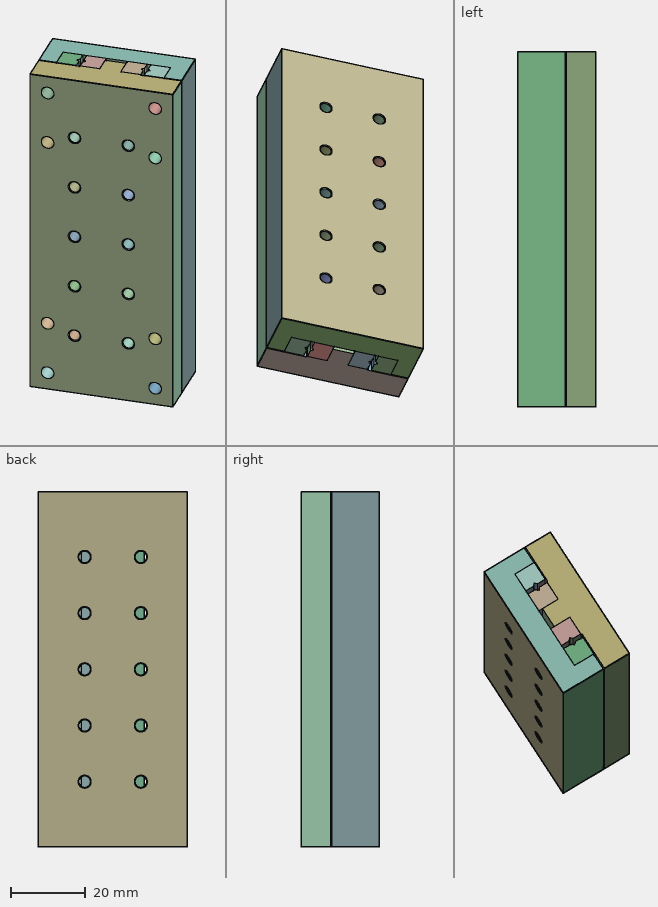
import cadquery as cq

WIDTH = 40.0
DEPTH = 21.0
LENGTH = 95.0
BASE_FACE_Y = -DEPTH / 2
TABLE_FACE_Y = DEPTH / 2

RAIL_SEAT_Y = -2.3
RAIL_TOP_Y = 3.8
BASE_SHOULDER_Y = -2.6
TABLE_LIP_Y = -2.2
RIB_TOP_Y = 2.7
RIB_HALF_WIDTH = 2.9
SEAT_HALF_WIDTH = 8.6
CHANNEL_HALF_WIDTH = 15.0

RAIL_WIDTH = 5.5
RAIL_MID_Y = (RAIL_TOP_Y + RAIL_SEAT_Y) / 2
GROOVE_DEPTH = 0.7

HOLE_PITCH = 15.0
MOUNT_DIAMETER = 3.5
MOUNT_Z = (27.5, 27.5 + HOLE_PITCH)
TAP_DIAMETER = 3.0
TAP_MOUTH_DIAMETER = 3.5
TAP_CHAMFER = (TAP_MOUTH_DIAMETER - TAP_DIAMETER) / 2
TAP_ROWS = 5

EDGE_CHAMFER = 0.14

MOUNT_POINTS = [
    (side * HOLE_PITCH, end * z)
    for side in (-1, 1)
    for end in (-1, 1)
    for z in MOUNT_Z
]
TAP_POINTS = [
    (side * HOLE_PITCH / 2, (row - (TAP_ROWS - 1) / 2) * HOLE_PITCH)
    for side in (-1, 1)
    for row in range(TAP_ROWS)
]


def extrude_section(points):
    """Extrude a closed XY outline over the full length, centred on Z."""
    return cq.Workplane("XY").polyline(points).close().extrude(LENGTH / 2, both=True)


def symmetric_section(right_half):
    """Close an outline from its right half by mirroring it about X = 0."""
    left_half = [(-x, y) for x, y in reversed(right_half)]
    return extrude_section(right_half + left_half)


def break_outer_edges(plate, mounting_face):
    """Chamfer the edges around the mounting face and the end edges of the two side faces."""
    side_ends = plate.faces("<X or >X").edges("|Y")
    return side_ends.add(plate.faces(mounting_face).edges()).chamfer(EDGE_CHAMFER)


def y_cylinders(points, diameter):
    """Cylinders along Y through the full depth, at the given (x, z) points."""
    return (
        cq.Workplane("XZ", origin=(0, TABLE_FACE_Y, 0))
        .pushPoints(points)
        .circle(diameter / 2)
        .extrude(DEPTH)
    )


def drill_taps(plate, face):
    """Tapped holes through a plate, with a chamfered mouth on its outer face."""
    drilled = plate.cut(y_cylinders(TAP_POINTS, TAP_DIAMETER))
    mouths = drilled.faces(face).edges(cq.selectors.RadiusNthSelector(0))
    return mouths.chamfer(TAP_CHAMFER)


def make_base():
    """Plate with a raised rail seat and a central rib between the inner rails."""
    base = symmetric_section([
        (WIDTH / 2, BASE_FACE_Y),
        (WIDTH / 2, BASE_SHOULDER_Y),
        (SEAT_HALF_WIDTH, BASE_SHOULDER_Y),
        (SEAT_HALF_WIDTH, RAIL_SEAT_Y),
        (RIB_HALF_WIDTH, RAIL_SEAT_Y),
        (RIB_HALF_WIDTH, RIB_TOP_Y),
    ])
    base = break_outer_edges(base, "<Y")
    base = drill_taps(base, "<Y")
    return base.cut(y_cylinders(MOUNT_POINTS, MOUNT_DIAMETER))


def make_table():
    """Inverted channel whose side walls hold the outer rails."""
    table = symmetric_section([
        (WIDTH / 2, TABLE_FACE_Y),
        (WIDTH / 2, TABLE_LIP_Y),
        (CHANNEL_HALF_WIDTH, TABLE_LIP_Y),
        (CHANNEL_HALF_WIDTH, RAIL_TOP_Y),
    ])
    table = break_outer_edges(table, ">Y")
    return drill_taps(table, ">Y")


def make_rail(back_x, facing):
    """Square rail with its back at back_x and a V groove on the side it faces along X."""
    front_x = back_x + facing * RAIL_WIDTH
    groove_x = front_x - facing * GROOVE_DEPTH
    return extrude_section([
        (back_x, RAIL_SEAT_Y),
        (front_x, RAIL_SEAT_Y),
        (front_x, RAIL_MID_Y - GROOVE_DEPTH),
        (groove_x, RAIL_MID_Y),
        (front_x, RAIL_MID_Y + GROOVE_DEPTH),
        (front_x, RAIL_TOP_Y),
        (back_x, RAIL_TOP_Y),
    ])


base = make_base()
table = make_table()
rails = []
for side in (-1, 1):
    inner_rail = make_rail(side * RIB_HALF_WIDTH, side)
    outer_rail = make_rail(side * CHANNEL_HALF_WIDTH, -side)
    rails += [inner_rail.val(), outer_rail.val()]

result = cq.Compound.makeCompound([base.val(), table.val(), *rails])